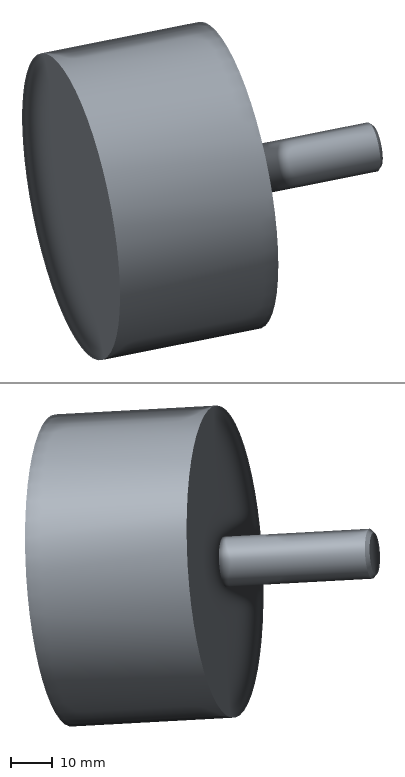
import cadquery as cq

total_length = 77.0
buffer_diameter = 75.0
buffer_length = 40.0
stud_diameter = 12.0
stud_chamfer = 0.9

stud_length = total_length - buffer_length


def make_buffer():
    """Plain round block from the front face at Y = 0 to the stud side."""
    return cq.Workplane("XZ").circle(buffer_diameter / 2).extrude(-buffer_length)


def make_stud():
    """Round stud standing on the back face, with its free end chamfered."""
    stud = (
        cq.Workplane("XZ", origin=(0, buffer_length, 0))
        .circle(stud_diameter / 2)
        .extrude(-stud_length)
    )
    return stud.faces(">Y").chamfer(stud_chamfer)


buffer = make_buffer()
stud = make_stud()

result = cq.Compound.makeCompound([buffer.val(), stud.val()])